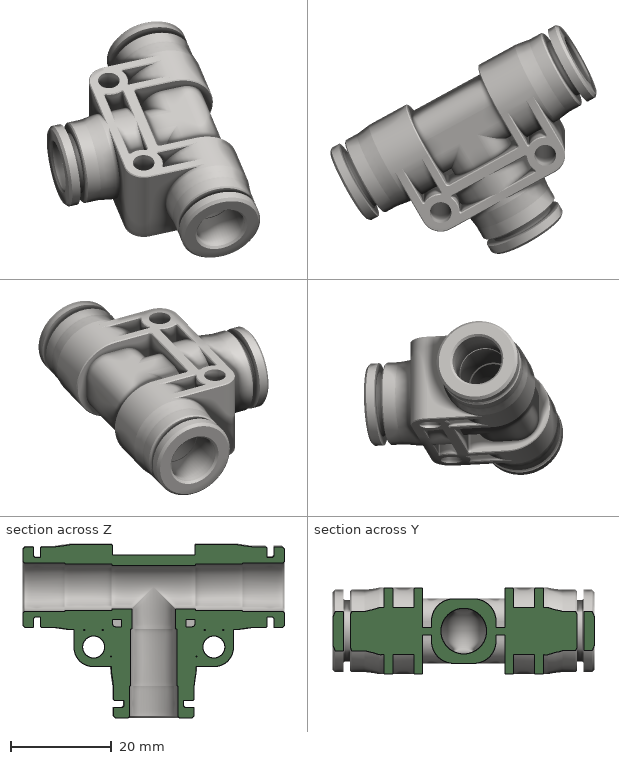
import cadquery as cq

arm_length = 26.1
barrel_radius = 8.6
barrel_start = 8.15
taper_start = 16.7
taper_end = 19.7
sleeve_radius = 8.2
sleeve_end = 22.55
sleeve_chamfer = 0.25
neck_radius = 6.1
neck_flare = 0.3
ring_thickness = 2.2
ring_chamfer = 0.5

passage_radius = 4.5
tube_radius = 4.8
tube_stop_depth = 17.75
collet_radius = 4.95
run_collet_depth = 8.35
branch_collet_depth = 6.35
mouth_radius = 5.4

core_width = 12.95
core_corner_radius = 4.55

screw_x = 11.95
screw_y = -11.9
screw_hole_radius = 2.15
boss_radius = 3.8
plate_corner_radius = 3.95
plate_half_width = screw_x + plate_corner_radius
plate_front = screw_y - plate_corner_radius
plate_height = 2 * barrel_radius
rim_chamfer = 0.185

inner_rib_width = 1.8
outer_rib_width = 1.9
recess_back = -7.85
recess_corner_radius = 0.5
side_pocket_front = -8.9
slot_half_length = 9.15
slot_back = -10.1
slot_front = -13.9
pocket_corner_radius = 0.2
web_thickness = 1.55


def upright_block(x_min, x_max, y_min, y_max, height=plate_height):
    """Block with the given footprint, centred on the mid-plane Z = 0."""
    return (
        cq.Workplane("XY")
        .box(x_max - x_min, y_max - y_min, height)
        .translate(((x_min + x_max) / 2, (y_min + y_max) / 2, 0))
    )


def upright_cylinders(radius):
    """One cylinder of full plate height on each screw axis."""
    return (
        cq.Workplane("XY", origin=(0, 0, -plate_height / 2))
        .pushPoints([(-screw_x, screw_y), (screw_x, screw_y)])
        .circle(radius)
        .extrude(plate_height)
    )


def point_arm(shape, angle):
    """Turn a shape that lies along -Y about the Z axis."""
    return shape.rotate((0, 0, 0), (0, 0, 1), angle)


def make_arm():
    """Outside of one arm, turned about the Y axis and pointing to -Y."""
    ring_inner = arm_length - ring_thickness
    return (
        cq.Workplane("XY")
        .moveTo(0, -barrel_start)
        .lineTo(barrel_radius - rim_chamfer, -barrel_start)
        .lineTo(barrel_radius, -(barrel_start + rim_chamfer))
        .lineTo(barrel_radius, -taper_start)
        .lineTo(sleeve_radius, -taper_end)
        .lineTo(sleeve_radius, -(sleeve_end - sleeve_chamfer))
        .lineTo(sleeve_radius - sleeve_chamfer, -sleeve_end)
        .lineTo(neck_radius, -sleeve_end)
        .lineTo(neck_radius, -(ring_inner - neck_flare))
        .lineTo(neck_radius + neck_flare, -ring_inner)
        .lineTo(sleeve_radius, -ring_inner)
        .lineTo(sleeve_radius, -(arm_length - ring_chamfer))
        .lineTo(sleeve_radius - ring_chamfer, -arm_length)
        .lineTo(0, -arm_length)
        .close()
        .revolve(360, (0, 0, 0), (0, 1, 0))
    )


def make_bore(collet_depth):
    """Passage, tube socket, collet bore and chamfered mouth of one arm, pointing to -Y."""
    tube_stop = arm_length - tube_stop_depth
    collet_end = arm_length - collet_depth
    mouth_depth = mouth_radius - collet_radius
    return (
        cq.Workplane("XY")
        .lineTo(passage_radius, 0)
        .lineTo(passage_radius, -tube_stop)
        .lineTo(tube_radius, -tube_stop)
        .lineTo(tube_radius, -collet_end)
        .lineTo(collet_radius, -collet_end)
        .lineTo(collet_radius, -(arm_length - mouth_depth))
        .lineTo(mouth_radius, -arm_length)
        .lineTo(0, -arm_length)
        .close()
        .revolve(360, (0, 0, 0), (0, 1, 0))
    )


def make_core():
    """Rounded-square run tube along X with a matching branch tube to -Y."""
    run = (
        cq.Workplane("YZ", origin=(-barrel_start, 0, 0))
        .rect(core_width, core_width)
        .extrude(2 * barrel_start)
        .edges("|X")
        .fillet(core_corner_radius)
    )
    branch = (
        cq.Workplane("XZ")
        .rect(core_width, core_width)
        .extrude(barrel_start)
        .edges("|Y")
        .fillet(core_corner_radius)
    )
    return run.union(branch)


def make_plate():
    """Mounting plate with ribs and pockets, its rims chamfered."""
    plate = upright_block(-plate_half_width, plate_half_width, plate_front, 0)
    plate = plate.edges("|Z and <Y").fillet(plate_corner_radius)

    recess = upright_block(-barrel_start, barrel_start, recess_back, 0.5)
    plate = plate.cut(recess.edges("|Z and <Y").fillet(recess_corner_radius))

    bosses = upright_cylinders(boss_radius)
    slot = upright_block(-slot_half_length, slot_half_length, slot_front, slot_back)
    plate = plate.cut(slot.cut(bosses).edges("|Z").fillet(pocket_corner_radius))

    pocket_inner = barrel_start + inner_rib_width
    pocket_outer = plate_half_width - outer_rib_width
    pocket = upright_block(pocket_inner, pocket_outer, side_pocket_front, 0.5)
    pocket = pocket.cut(bosses).edges("|Z and (not >Y)").fillet(pocket_corner_radius)
    plate = plate.cut(pocket).cut(pocket.mirror("YZ"))

    return plate.faces("<Z or >Z").chamfer(rim_chamfer)


arms = ((-90, run_collet_depth), (0, branch_collet_depth), (90, run_collet_depth))
arm = make_arm()

web = upright_block(-barrel_start, barrel_start, recess_back, 0, web_thickness)

result = make_plate().union(web).union(make_core())
for angle, _ in arms:
    result = result.union(point_arm(arm, angle))
for angle, collet_depth in arms:
    result = result.cut(point_arm(make_bore(collet_depth), angle))
result = result.cut(upright_cylinders(screw_hole_radius))